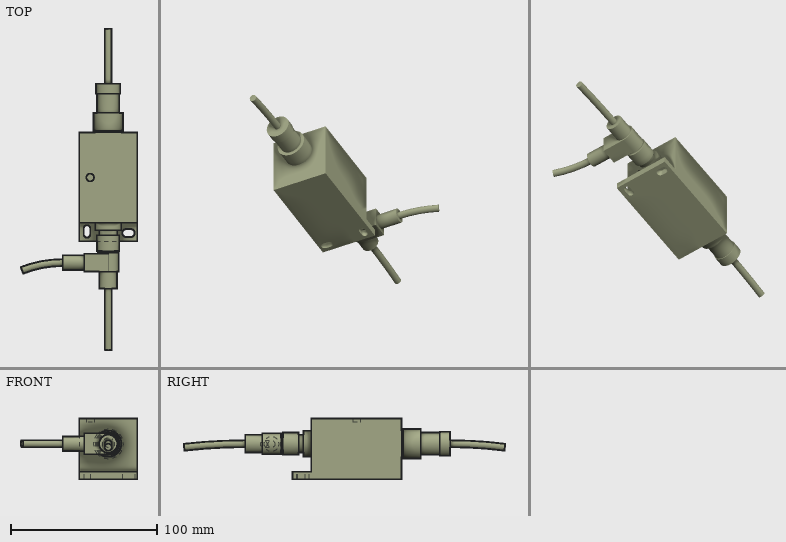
import cadquery as cq
import math


housing_width = 40.0
housing_length = 62.0
top_height = 17.5
bottom_depth = 24.5
flange_length = 12.8
flange_thickness = 5.3

slot_length = 8.5
left_slot_width = 4.5
left_slot_x = -14.5
left_slot_y = -6.0
right_slot_width = 5.3
right_slot_x = 14.0
right_slot_y = -7.0

socket_radius = 9.0
front_socket_length = 5.3
rear_socket_length = 1.0
thread_radius = 6.2
thread_length = 3.3

lamp_radius = 2.7
lamp_depth = 2.2
lamp_x = -12.4
lamp_y = housing_length / 2

cable_radius = 2.5

nut_radius = 7.7
nut_length = 10.8
neck_radius = 4.2
neck_length = 1.0
tee_radius = 7.3
tee_length = 13.0
arm_block_reach = 16.5
arm_block_length = 12.4
sleeve_radius = 6.2
sleeve_length = 11.7
front_cable_run = 19.0
straight_cable_drop = 1.1
arm_sleeve_radius = 5.0
arm_sleeve_length = 14.8
arm_cable_run = 12.6
arm_cable_drop = 2.4

rear_nut_radius = 10.2
rear_nut_length = 12.1
grip_radius = 7.7
grip_length = 13.0
collar_radius = 8.5
collar_length = 7.0
rear_cable_run = 17.0

flange_front_y = -flange_length
thread_front_y = -front_socket_length - thread_length
nut_front_y = thread_front_y - nut_length
tee_rear_y = nut_front_y - neck_length
tee_front_y = tee_rear_y - tee_length
arm_y = tee_front_y + arm_block_length / 2
sleeve_front_y = tee_front_y - sleeve_length
rear_socket_end_y = housing_length + rear_socket_length
rear_nut_end_y = rear_socket_end_y + rear_nut_length
grip_end_y = rear_nut_end_y + grip_length
collar_end_y = grip_end_y + collar_length


def box_between(x_range, y_range, z_range):
    """Box spanning the given (low, high) ranges."""
    sizes = [high - low for low, high in (x_range, y_range, z_range)]
    corner = (x_range[0], y_range[0], z_range[0])
    return cq.Workplane("XY").box(*sizes, centered=False).translate(corner)


def barrel(radius, start_y, end_y):
    """Cylinder on the connector axis between two stations."""
    length = end_y - start_y
    solid = cq.Solid.makeCylinder(radius, length, cq.Vector(0, start_y, 0), cq.Vector(0, 1, 0))
    return cq.Workplane(obj=solid)


def bent_cable(start, heading, sag, run, drop):
    """Round cable that leaves along heading and bends in one arc towards sag."""
    start = cq.Vector(*start)
    heading = cq.Vector(*heading)
    bend_angle = 2 * math.atan2(drop, run)
    bend_radius = run / math.sin(bend_angle)
    bend_center = start + cq.Vector(*sag) * bend_radius
    bend_axis = heading.cross(cq.Vector(*sag))

    section_plane = cq.Plane(origin=start, xDir=bend_axis, normal=heading)
    pivot = section_plane.toLocalCoords(bend_center)
    pivot_end = section_plane.toLocalCoords(bend_center + bend_axis)
    return (
        cq.Workplane(section_plane)
        .circle(cable_radius)
        .revolve(math.degrees(bend_angle), pivot.toTuple()[:2], pivot_end.toTuple()[:2])
    )


def make_slot(x, y, width, angle):
    """Cutter for an obround slot through the flange."""
    return (
        cq.Workplane("XY", origin=(x, y, -bottom_depth))
        .slot2D(slot_length, width, angle)
        .extrude(flange_thickness)
    )


def make_lamp():
    return (
        cq.Workplane("XY", origin=(lamp_x, lamp_y, top_height - lamp_depth))
        .circle(lamp_radius)
        .extrude(lamp_depth)
    )


def make_housing():
    x_range = (-housing_width / 2, housing_width / 2)
    block = box_between(x_range, (0, housing_length), (-bottom_depth, top_height))
    flange = box_between(x_range, (flange_front_y, 0), (-bottom_depth, flange_thickness - bottom_depth))
    return (
        block.union(flange)
        .union(barrel(socket_radius, -front_socket_length, 0))
        .union(barrel(thread_radius, thread_front_y, -front_socket_length))
        .union(barrel(socket_radius, housing_length, rear_socket_end_y))
        .cut(make_slot(left_slot_x, left_slot_y, left_slot_width, 90))
        .cut(make_slot(right_slot_x, right_slot_y, right_slot_width, 0))
        .cut(make_lamp())
    )


def make_tee_plug():
    arm_block = box_between(
        (-arm_block_reach, 0),
        (tee_front_y, tee_front_y + arm_block_length),
        (-tee_radius, tee_radius),
    )
    arm_sleeve = (
        cq.Workplane("YZ", origin=(-arm_block_reach, arm_y, 0))
        .circle(arm_sleeve_radius)
        .extrude(-arm_sleeve_length)
    )
    arm_cable_start = (-arm_block_reach - arm_sleeve_length, arm_y, 0)
    arm_cable = bent_cable(arm_cable_start, (-1, 0, 0), (0, -2.2, 0), arm_cable_run, arm_cable_drop)
    front_cable = bent_cable(
        (0, sleeve_front_y, 0), (0, -1, 0), (0, 0, -2.2), front_cable_run, straight_cable_drop
    )
    return (
        barrel(nut_radius, nut_front_y, thread_front_y)
        .union(barrel(neck_radius, tee_rear_y, nut_front_y))
        .union(barrel(tee_radius, tee_front_y, tee_rear_y))
        .union(arm_block)
        .union(arm_sleeve)
        .union(arm_cable)
        .union(barrel(sleeve_radius, sleeve_front_y, tee_front_y))
        .union(front_cable)
    )


def make_rear_plug():
    cable = bent_cable(
        (0, collar_end_y, 0), (0, 1, 0), (0, 0, -2.2), rear_cable_run, straight_cable_drop
    )
    return (
        barrel(rear_nut_radius, rear_socket_end_y, rear_nut_end_y)
        .union(barrel(grip_radius, rear_nut_end_y, grip_end_y))
        .union(barrel(collar_radius, grip_end_y, collar_end_y))
        .union(cable)
    )


housing = make_housing()
lamp = make_lamp()
tee_plug = make_tee_plug()
rear_plug = make_rear_plug()

bodies = [housing, lamp, tee_plug, rear_plug]
result = cq.Compound.makeCompound([body.solids().val() for body in bodies])